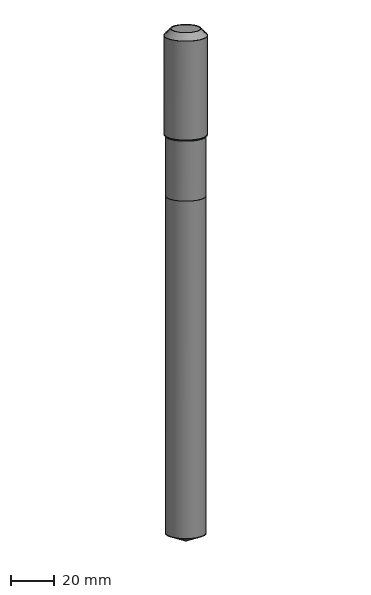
import cadquery as cq
import math

total_length = 243.0
shank_diameter = 20.0
drill_diameter = 18.7

shank_length = 50.0
top_chamfer = 3.2
step_chamfer_height = 0.7

cutting_length = 163.8
point_angle = 136.0

shank_radius = shank_diameter / 2
drill_radius = drill_diameter / 2
point_height = drill_radius / math.tan(math.radians(point_angle / 2))
shank_bottom = total_length - shank_length


def make_holder():
    """Chamfered shank with the plain neck below it, turned in one piece."""
    profile = [
        (0, cutting_length),
        (drill_radius, cutting_length),
        (drill_radius, shank_bottom - step_chamfer_height),
        (shank_radius, shank_bottom),
        (shank_radius, total_length - top_chamfer),
        (shank_radius - top_chamfer, total_length),
        (0, total_length),
    ]
    return cq.Workplane("XZ").polyline(profile).close().revolve(360, (0, 0), (0, 1))


def make_cutting_section():
    """Cylindrical cutting section ending in a conical point."""
    profile = [
        (0, 0),
        (drill_radius, point_height),
        (drill_radius, cutting_length),
        (0, cutting_length),
    ]
    return cq.Workplane("XZ").polyline(profile).close().revolve(360, (0, 0), (0, 1))


holder = make_holder()
cutting_section = make_cutting_section()

result = cq.Compound.makeCompound([holder.val(), cutting_section.val()])